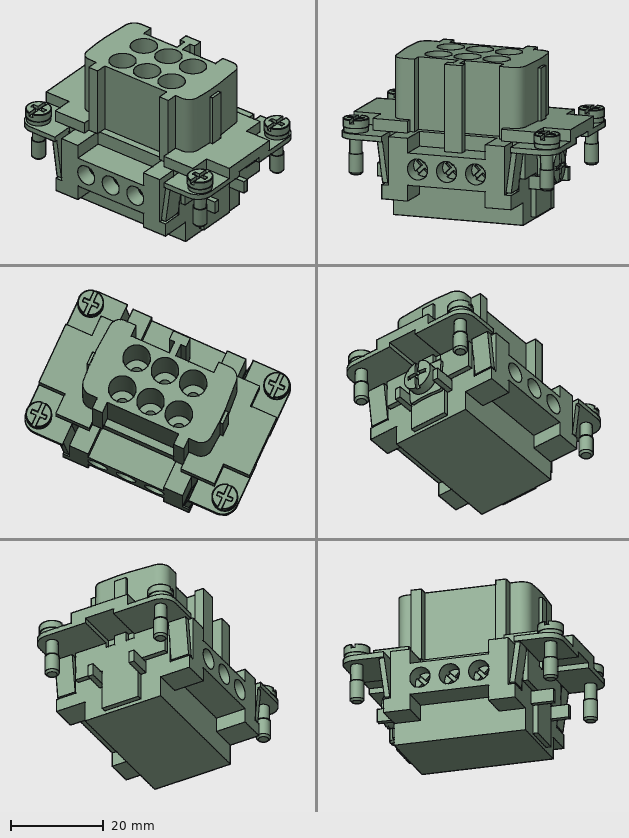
import cadquery as cq
import math


TOP_Z = 35.0
FLANGE_TOP_Z = 21.5
DECK_Z = 18.9
PLATE_BOTTOM_Z = 17.7
SHELF_Z = 15.65
UNDERCUT_Z = 8.5
SIDE_STEP_Z = 5.0

BODY_HALF_X = 14.95
BODY_HALF_Y = 16.6
CORE_HALF_Y = 9.45
RECESS_HALF_X = 8.95
END_FACE_X = 16.1
END_PAD_HALF_Y = 11.15
END_PAD_BOTTOM_Z = 10.7
END_RIB_HALF_Y = 4.5
END_RIB_BOTTOM_Z = 0.9
PRONG_X = 20.05
PRONG_WIDTH = 1.25
PRONG_BOTTOM_Z = 7.35
PRONG_TOP_Z = 10.25
CLIP_NOTCH_X = 13.4
CLIP_NOTCH_Y = 11.8
CLIP_NOTCH_BOTTOM_Z = 8.15

TOWER_BACK_Y = 10.3
TOWER_FRONT_Y = -7.75
TOWER_FLAT_X = 15.4
TOWER_BACK_CORNER_X = 14.8
TOWER_FRONT_CORNER_X = 15.0
TOWER_CORNER_RADIUS = 2.5
KEY_HALF_WIDTH = 1.45
KEY_TOP_Z = 33.25
BACK_NOTCH_HALF_X = 9.8
BACK_NOTCH_Y = 7.75
FRONT_RIB_INNER_X = 8.45
FRONT_RIB_OUTER_X = 10.85
FRONT_RIB_Y = -10.3
T_STEM_HALF_X = 0.75
T_HEAD_HALF_X = 2.0
T_HEAD_INNER_Y = 10.45
T_HEAD_OUTER_Y = 12.55

HALF_LENGTH = 25.0
FLANGE_TAB_HALF_Y = 7.05
FLANGE_SHOULDER_X = 18.8
FLANGE_HALF_Y = 11.85
PLATE_INNER_X = 14.9
PLATE_HALF_Y = 17.0
PLATE_CORNER_RADIUS = 3.45
PLATE_GAP_HALF_Y = 3.5
SLOT_BOTTOM_Z = 16.65
SLOT_DEPTH = 1.0
CLIP_THICKNESS = 1.2
CLIP_LEAN = 1.25
CLIP_BOTTOM_Z = 8.6
CLIP_INNER_Y = 12.0
CLIP_OUTER_Y = 16.35

PITCH_X = 6.7
CONTACT_Y = 3.75
SOCKET_RADIUS = 2.95
SOCKET_DEPTH = 15.0
CONTACT_RADIUS = 1.3
CONTACT_CONE_DEPTH = 1.5
TERMINAL_Z = 12.15
TERMINAL_RADIUS = 2.3
TERMINAL_DEPTH = 3.75
TERMINAL_CROSS_HALF = 1.85

CROSS_WIDTH = 0.9
CROSS_DEPTH = 0.85
SCREW_X = 22.05
SCREW_Y = 13.55
SCREW_HEAD_RADIUS = 2.8
SCREW_COLLAR_RADIUS = 2.65
SCREW_COLLAR_TOP_Z = 19.95
SCREW_TOP_Z = 21.8
SCREW_EDGE = 0.15
SCREW_CROSS_HALF = 1.75
SHANK_RADIUS = 1.35
THREAD_RADIUS = 1.55
THREAD_TOP_Z = 14.0
THREAD_BOTTOM_Z = 9.85
TIP_RADIUS = 1.1
TIP_Z = 9.35

EARTH_Z = 11.5
EARTH_HEAD_RADIUS = 3.55
EARTH_CROSS_HALF = 2.35
EARTH_HEAD_BASE_X = -17.4
EARTH_RIM_X = -19.8
EARTH_APEX_X = -20.1
WASHER_SIZE = 8.4
WASHER_CORNER = 0.6
WASHER_CURVE_RADIUS = 25.0
WASHER_THICKNESS = 0.7
WASHER_BACK_APEX_X = -16.75


def block(x0, x1, y0, y1, z0, z1):
    """Box between two corners given as coordinate ranges."""
    corner = (min(x0, x1), min(y0, y1), min(z0, z1))
    return cq.Workplane("XY").box(abs(x1 - x0), abs(y1 - y0), abs(z1 - z0), centered=False).translate(corner)


def centred_block(half_x, half_y, z0, z1):
    return block(-half_x, half_x, -half_y, half_y, z0, z1)


def both_x(solid):
    return solid.union(solid.mirror("YZ"))


def both_y(solid):
    return solid.union(solid.mirror("XZ"))


def four_corners(solid):
    return both_y(both_x(solid))


def cross_recess(arm_half, through_half, depth):
    """Cross cutter from Z = -depth to Z = 0; the arm along Y runs out through the rim."""
    short_arm = centred_block(arm_half, CROSS_WIDTH / 2, -depth, 0)
    return short_arm.union(centred_block(CROSS_WIDTH / 2, through_half, -depth, 0))


def make_body():
    body = centred_block(BODY_HALF_X, CORE_HALF_Y, 0, DECK_Z)
    body = body.union(centred_block(RECESS_HALF_X, BODY_HALF_Y, UNDERCUT_Z, SHELF_Z))
    corner = block(RECESS_HALF_X, BODY_HALF_X, 0, BODY_HALF_Y, SIDE_STEP_Z, DECK_Z)
    clip_notch = block(CLIP_NOTCH_X, BODY_HALF_X, CLIP_NOTCH_Y, BODY_HALF_Y, CLIP_NOTCH_BOTTOM_Z, DECK_Z)
    return body.union(four_corners(corner.cut(clip_notch)))


def make_end_details():
    """Raised pad, rib and pair of prongs, alike on both ends."""
    pad = block(RECESS_HALF_X, END_FACE_X, -END_PAD_HALF_Y, END_PAD_HALF_Y, END_PAD_BOTTOM_Z, DECK_Z)
    rib = block(0, END_FACE_X, -END_RIB_HALF_Y, END_RIB_HALF_Y, END_RIB_BOTTOM_Z, END_PAD_BOTTOM_Z)
    prong = block(0, PRONG_X, END_RIB_HALF_Y, END_RIB_HALF_Y + PRONG_WIDTH, PRONG_BOTTOM_Z, PRONG_TOP_Z)
    return both_x(pad.union(rib).union(both_y(prong)))


def end_slots():
    """Shallow slots in the end pads, below the gap between the plate halves."""
    slot = block(END_FACE_X - SLOT_DEPTH, END_FACE_X, KEY_HALF_WIDTH, PLATE_GAP_HALF_Y, SLOT_BOTTOM_Z, DECK_Z)
    return four_corners(slot)


def make_flange():
    tab = centred_block(HALF_LENGTH, FLANGE_TAB_HALF_Y, DECK_Z, FLANGE_TOP_Z)
    shoulder = block(FRONT_RIB_OUTER_X, FLANGE_SHOULDER_X, 0, FLANGE_HALF_Y, DECK_Z, FLANGE_TOP_Z)
    return tab.union(four_corners(shoulder))


def make_tower():
    height = TOP_Z - DECK_Z
    right_side = [
        (TOWER_FRONT_CORNER_X, TOWER_FRONT_Y),
        (TOWER_FLAT_X, -KEY_HALF_WIDTH),
        (TOWER_FLAT_X, KEY_HALF_WIDTH),
        (TOWER_BACK_CORNER_X, TOWER_BACK_Y),
    ]
    left_side = [(-x, y) for x, y in reversed(right_side)]
    tower = cq.Workplane("XY").workplane(offset=DECK_Z).polyline(right_side + left_side).close().extrude(height)
    tower = tower.edges("|Z").edges("<Y or >Y").fillet(TOWER_CORNER_RADIUS)

    back_notch = block(-BACK_NOTCH_HALF_X, BACK_NOTCH_HALF_X, BACK_NOTCH_Y, TOWER_BACK_Y, DECK_Z, TOP_Z)
    front_rib = block(FRONT_RIB_INNER_X, FRONT_RIB_OUTER_X, FRONT_RIB_Y, 0, DECK_Z, TOP_Z)
    side_key = block(0, END_FACE_X, -KEY_HALF_WIDTH, KEY_HALF_WIDTH, DECK_Z, KEY_TOP_Z)
    t_stem = block(-T_STEM_HALF_X, T_STEM_HALF_X, 0, T_HEAD_INNER_Y, SHELF_Z, TOP_Z)
    t_head = block(-T_HEAD_HALF_X, T_HEAD_HALF_X, T_HEAD_INNER_Y, T_HEAD_OUTER_Y, SHELF_Z, TOP_Z)
    return (
        tower.cut(back_notch)
        .union(both_x(front_rib))
        .union(both_x(side_key))
        .union(t_stem)
        .union(t_head)
    )


def make_plates():
    """Mounting plate around each end, split at the middle, with two leaning clips."""
    outline = centred_block(HALF_LENGTH, PLATE_HALF_Y, PLATE_BOTTOM_Z, DECK_Z)
    outline = outline.edges("|Z").fillet(PLATE_CORNER_RADIUS)
    quarter = block(PLATE_INNER_X, HALF_LENGTH, PLATE_GAP_HALF_Y, PLATE_HALF_Y, PLATE_BOTTOM_Z, DECK_Z)

    top_outer_x = PLATE_INNER_X + CLIP_THICKNESS
    bottom_inner_x = PLATE_INNER_X - CLIP_LEAN
    profile = [
        (PLATE_INNER_X, PLATE_BOTTOM_Z),
        (top_outer_x, PLATE_BOTTOM_Z),
        (top_outer_x - CLIP_LEAN, CLIP_BOTTOM_Z),
        (bottom_inner_x, CLIP_BOTTOM_Z),
    ]
    clip = cq.Workplane("XZ", origin=(0, CLIP_OUTER_Y, 0)).polyline(profile).close()
    clip = clip.extrude(CLIP_OUTER_Y - CLIP_INNER_Y)
    return four_corners(outline.intersect(quarter).union(clip))


def contact_bores():
    floor_z = TOP_Z - SOCKET_DEPTH
    bore = cq.Workplane("XY").workplane(offset=floor_z).circle(SOCKET_RADIUS).extrude(SOCKET_DEPTH)
    cone = cq.Solid.makeCone(0, CONTACT_RADIUS, CONTACT_CONE_DEPTH).translate(
        cq.Vector(0, 0, floor_z - CONTACT_CONE_DEPTH)
    )
    cutter = bore.union(cq.Workplane(cone))
    cutters = cq.Workplane("XY")
    for column in (-1, 0, 1):
        for row in (-1, 1):
            cutters = cutters.add(cutter.translate((column * PITCH_X, row * CONTACT_Y, 0)))
    return cutters.combine()


def terminal_bores():
    """Holes through both terminal faces, each ending on a screw head with a diagonal cross."""
    bore = cq.Workplane("XY").circle(TERMINAL_RADIUS).extrude(TERMINAL_DEPTH)
    cross = cross_recess(TERMINAL_CROSS_HALF, TERMINAL_RADIUS, CROSS_DEPTH)
    round_end = cq.Workplane("XY").circle(TERMINAL_RADIUS).extrude(-CROSS_DEPTH)
    cutter = bore.union(cross.intersect(round_end).rotate((0, 0, 0), (0, 0, 1), 45))
    cutter = cutter.rotate((0, 0, 0), (1, 0, 0), 90)
    floor_y = TERMINAL_DEPTH - BODY_HALF_Y
    cutters = cq.Workplane("XY")
    for column in (-1, 0, 1):
        cutters = cutters.add(cutter.translate((column * PITCH_X, floor_y, TERMINAL_Z)))
    return both_y(cutters.combine())


def make_corner_screw():
    profile = [
        (0, TIP_Z),
        (TIP_RADIUS, TIP_Z),
        (THREAD_RADIUS, THREAD_BOTTOM_Z),
        (THREAD_RADIUS, THREAD_TOP_Z),
        (SHANK_RADIUS, THREAD_TOP_Z),
        (SHANK_RADIUS, DECK_Z),
        (SCREW_COLLAR_RADIUS, DECK_Z),
        (SCREW_COLLAR_RADIUS, SCREW_COLLAR_TOP_Z),
        (SCREW_HEAD_RADIUS, SCREW_COLLAR_TOP_Z),
        (SCREW_HEAD_RADIUS, SCREW_TOP_Z - SCREW_EDGE),
        (SCREW_HEAD_RADIUS - SCREW_EDGE, SCREW_TOP_Z),
        (0, SCREW_TOP_Z),
    ]
    screw = cq.Workplane("YZ").polyline(profile).close().revolve(360, (0, 0, 0), (0, 1, 0))
    cross = cross_recess(SCREW_CROSS_HALF, SCREW_HEAD_RADIUS, CROSS_DEPTH)
    screw = screw.cut(cross.translate((0, 0, SCREW_TOP_Z)))
    return screw.translate((SCREW_X, SCREW_Y, 0))


def earth_head():
    """Domed head whose axis is X, with its long slot upright."""
    rim_height = EARTH_HEAD_BASE_X - EARTH_RIM_X
    apex_height = EARTH_HEAD_BASE_X - EARTH_APEX_X
    dome_rise = apex_height - rim_height
    dome_radius = (EARTH_HEAD_RADIUS**2 + dome_rise**2) / (2 * dome_rise)
    mid_radius = EARTH_HEAD_RADIUS / 2
    mid_height = apex_height - dome_radius + math.sqrt(dome_radius**2 - mid_radius**2)
    head = (
        cq.Workplane("XZ")
        .lineTo(EARTH_HEAD_RADIUS, 0)
        .lineTo(EARTH_HEAD_RADIUS, rim_height)
        .threePointArc((mid_radius, mid_height), (0, apex_height))
        .close()
        .revolve(360, (0, 0, 0), (0, 1, 0))
    )
    cross = cross_recess(EARTH_CROSS_HALF, EARTH_HEAD_RADIUS, CROSS_DEPTH)
    head = head.cut(cross.translate((0, 0, apex_height)))
    head = head.rotate((0, 0, 0), (0, 0, 1), 90).rotate((0, 0, 0), (0, 1, 0), -90)
    return head.translate((EARTH_HEAD_BASE_X, 0, EARTH_Z))


def earth_washer():
    centre_x = WASHER_BACK_APEX_X + WASHER_CURVE_RADIUS
    outer = cq.Workplane("XY").sphere(WASHER_CURVE_RADIUS + WASHER_THICKNESS)
    inner = cq.Workplane("XY").sphere(WASHER_CURVE_RADIUS)
    shell = outer.cut(inner).translate((centre_x, 0, EARTH_Z))
    square = block(
        -HALF_LENGTH, -BODY_HALF_X,
        -WASHER_SIZE / 2, WASHER_SIZE / 2,
        EARTH_Z - WASHER_SIZE / 2, EARTH_Z + WASHER_SIZE / 2,
    )
    return square.edges("|X").fillet(WASHER_CORNER).intersect(shell)


result = (
    make_body()
    .union(make_end_details())
    .cut(end_slots())
    .union(make_flange())
    .union(make_tower())
    .union(make_plates())
    .cut(contact_bores())
    .cut(terminal_bores())
    .union(four_corners(make_corner_screw()))
    .union(earth_washer())
    .union(earth_head())
)